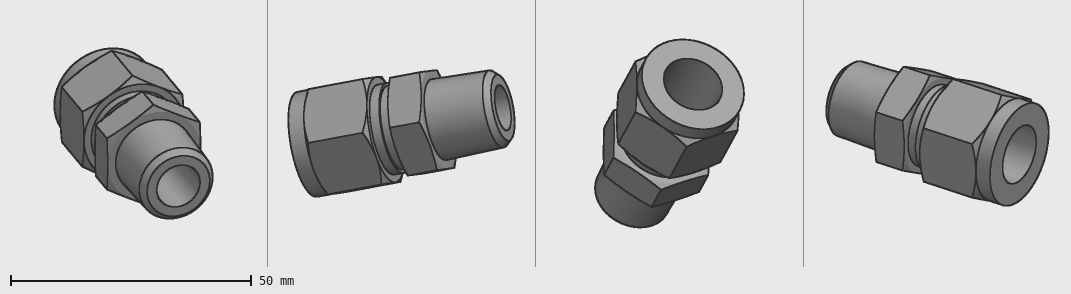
import cadquery as cq
import math


total_length = 43.43
start_x = 0.0

nut_flats = 22.22
collar_diameter = nut_flats
collar_length = 3.47
nut_hex_length = 14.0
nut_chamfer_angle = 30.0

ring_diameter = 19.05
ring_length = 2.1
neck_diameter = 17.78
neck_length = 2.25

body_flats = 20.64
body_hex_length = 7.4
body_chamfer_angle = 15.0

undercut_diameter = 17.1
undercut_length = 0.5
taper_start_diameter = 17.1
taper_ratio = 1 / 16
tip_diameter = 13.9
tip_chamfer_length = 1.4

tube_diameter = 12.7
tube_depth = 22.0
bore_diameter = 9.6

nut_hex_x = start_x + collar_length
ring_x = nut_hex_x + nut_hex_length
neck_x = ring_x + ring_length
body_hex_x = neck_x + neck_length
undercut_x = body_hex_x + body_hex_length
taper_x = undercut_x + undercut_length
end_x = start_x + total_length
tip_chamfer_x = end_x - tip_chamfer_length


def revolve_about_x(points):
    """Revolve a closed (x, radius) outline about the X axis."""
    return cq.Workplane("XZ").polyline(points).close().revolve(360, (0, 0, 0), (1, 0, 0))


def cylinder(x, length, diameter):
    """Solid cylinder along X starting at x."""
    radius = diameter / 2
    return revolve_about_x([(x, 0), (x, radius), (x + length, radius), (x + length, 0)])


def chamfered_hexagon(x, length, flats, angle):
    """Hexagonal prism with corners up and down, corners turned off conically at both ends."""
    corner_diameter = flats / math.cos(math.pi / 6)
    flat_radius = flats / 2
    corner_radius = corner_diameter / 2
    run = (corner_radius - flat_radius) * math.tan(math.radians(angle))
    prism = (
        cq.Workplane("YZ", origin=(x, 0, 0))
        .polygon(6, corner_diameter)
        .extrude(length)
        .rotate((0, 0, 0), (1, 0, 0), 90)
    )
    envelope = revolve_about_x([
        (x, 0),
        (x, flat_radius),
        (x + run, corner_radius),
        (x + length - run, corner_radius),
        (x + length, flat_radius),
        (x + length, 0),
    ])
    return prism.intersect(envelope)


def thread_end():
    """Tapered cone with a chamfered tip."""
    taper_start_radius = taper_start_diameter / 2
    taper_end_radius = taper_start_radius - (tip_chamfer_x - taper_x) * taper_ratio / 2
    return revolve_about_x([
        (taper_x, 0),
        (taper_x, taper_start_radius),
        (tip_chamfer_x, taper_end_radius),
        (end_x, tip_diameter / 2),
        (end_x, 0),
    ])


def bores():
    """Tube socket from the collar face and the through bore behind it."""
    socket = cylinder(start_x, tube_depth, tube_diameter)
    return socket.union(cylinder(start_x, total_length, bore_diameter))


collar = cylinder(start_x, collar_length, collar_diameter)
nut_hexagon = chamfered_hexagon(nut_hex_x, nut_hex_length, nut_flats, nut_chamfer_angle)
ring = cylinder(ring_x, ring_length, ring_diameter)
neck = cylinder(neck_x, neck_length, neck_diameter)
body_hexagon = chamfered_hexagon(body_hex_x, body_hex_length, body_flats, body_chamfer_angle)
undercut = cylinder(undercut_x, undercut_length, undercut_diameter)

outside = collar
for section in (nut_hexagon, ring, neck, body_hexagon, undercut, thread_end()):
    outside = outside.union(section)

result = outside.cut(bores())